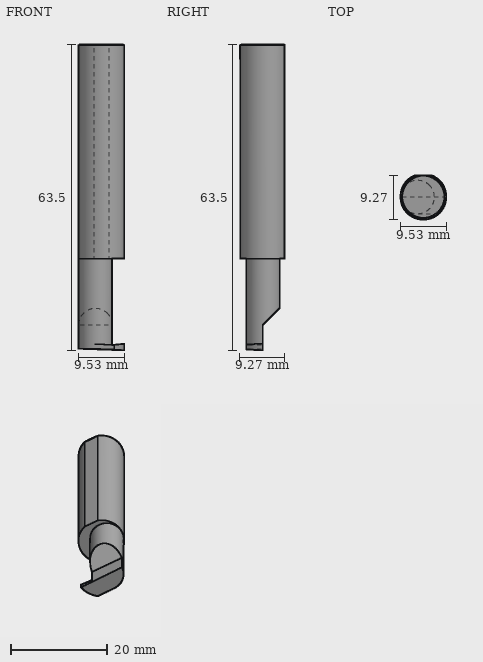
import cadquery as cq
import math

overall_length = 63.5
shoulder_height = 19.05

shank_radius = 9.525 / 2
flat_offset = 4.51
chamfer_radial = 0.4
chamfer_height = 0.2

neck_radius = 3.49
neck_center_x = neck_radius - shank_radius

rake_cut_top = 5.3
rake_cut_angle = math.radians(45)

tip_x = shank_radius
tooth_side_y = -neck_radius
tooth_corner_x = 2.65
corner_bevel = 0.32
clearance_radius = 5.5
tooth_valley_x = 2.3
tooth_root_top = 1.32
tooth_valley_top = 1.15
tooth_tip_top = 1.4

end_relief_x = math.radians(2)
end_relief_y = math.radians(2)

cutter_size = 4 * shank_radius


def make_shank():
    shank_length = overall_length - shoulder_height
    profile = (
        cq.Workplane("XZ")
        .moveTo(0, shoulder_height)
        .lineTo(shank_radius, shoulder_height)
        .lineTo(shank_radius, overall_length - chamfer_height)
        .lineTo(shank_radius - chamfer_radial, overall_length)
        .lineTo(0, overall_length)
        .close()
    )
    shank = profile.revolve(360, (0, 0, 0), (0, 1, 0))
    flat_cutter = (
        cq.Workplane("XY", origin=(0, flat_offset, shoulder_height))
        .box(cutter_size, cutter_size, shank_length, centered=(True, False, False))
    )
    return shank.cut(flat_cutter)


def make_neck():
    neck = cq.Workplane("XY").center(neck_center_x, 0).circle(neck_radius).extrude(shoulder_height)
    cut_depth = 2 * neck_radius
    rake_cutter = (
        cq.Workplane("YZ", origin=(-cutter_size / 2, 0, 0))
        .moveTo(0, 0)
        .lineTo(0, rake_cut_top)
        .lineTo(cut_depth, rake_cut_top + cut_depth * math.tan(rake_cut_angle))
        .lineTo(cut_depth, 0)
        .close()
        .extrude(cutter_size)
    )
    return neck.cut(rake_cutter)


def make_tooth():
    plan = (
        cq.Workplane("XY")
        .moveTo(neck_center_x, 0)
        .lineTo(neck_center_x, tooth_side_y)
        .lineTo(tooth_corner_x, tooth_side_y)
        .lineTo(tooth_corner_x + corner_bevel, tooth_side_y + corner_bevel)
        .radiusArc((tip_x, 0), -clearance_radius)
        .close()
        .extrude(shoulder_height)
    )
    side_profile = (
        cq.Workplane("XZ")
        .moveTo(neck_center_x, 0)
        .lineTo(neck_center_x, tooth_root_top)
        .lineTo(tooth_valley_x, tooth_valley_top)
        .lineTo(tip_x, tooth_tip_top)
        .lineTo(tip_x, 0)
        .close()
        .extrude(neck_radius)
    )
    return plan.intersect(side_profile)


def make_end_cutter():
    normal = (math.tan(end_relief_x), math.tan(end_relief_y), 1)
    end_plane = cq.Plane(origin=(tip_x, 0, 0), xDir=(1, 0, -math.tan(end_relief_x)), normal=normal)
    return cq.Workplane(end_plane).rect(2 * cutter_size, 2 * cutter_size).extrude(-shank_radius)


cutting_end = make_neck().union(make_tooth()).cut(make_end_cutter())
result = make_shank().union(cutting_end)